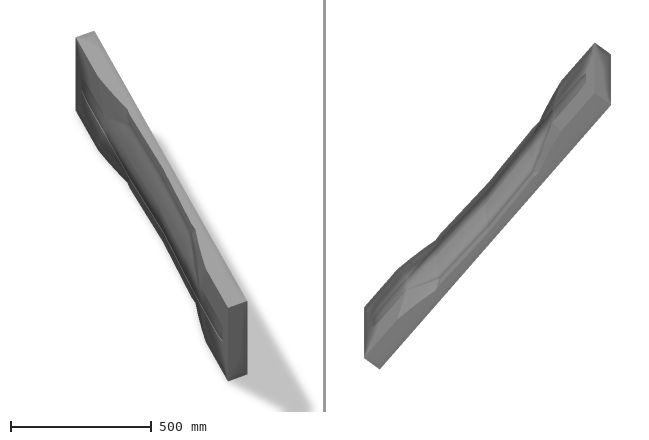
import cadquery as cq

LENGTH = 1318.0
HEIGHT = 434.0
HALF_LENGTH = LENGTH / 2
HALF_HEIGHT = HEIGHT / 2
LEFT_END_DEPTH = 73.0
RIGHT_END_DEPTH = 75.0

RECESS_STEP = 3.0
BARREL_HALF_LENGTH = 266.0
BARREL_HALF_HEIGHT = 161.0
BARREL_CORNER_HEIGHT = 165.0
CREST_MID_DEPTH = 47.0
CREST_SIDE_DEPTH = 58.0
RIM_MID_DEPTH = 30.0
RIM_SIDE_DEPTH = 40.0

VALLEY_X = 294.0
VALLEY_DEPTH = 37.0

TONGUE_START_X = 418.0
TONGUE_TAPER_X = 571.0
TONGUE_END_X = 610.0
TONGUE_HALF_HEIGHT = 54.0
TONGUE_END_HALF_HEIGHT = 38.0

FLAT_START_X = 468.0
OUTER_SEAM_X = 631.0
END_SEAM_HEIGHT = 162.0

SLOPE_SAG = 3.0

def line(start, end):
    return cq.Edge.makeLine(start, end)

def ruled(first, second):
    return cq.Face.makeRuledSurface(first, second)

def polygon(*points):
    return cq.Face.makeFromWires(cq.Wire.makePolygon(points, close=True))

def sunk(point):
    """Point moved into the panel by the recess step."""
    return point + cq.Vector(0, RECESS_STEP, 0)

def barrel_arc(x, corner_height, corner, crest, z_sign):
    """Circular bulge section from the crest to the barrel corner, level at the crest."""
    rise = corner.y - crest.y
    radius = (corner_height**2 + rise**2) / (2 * rise)
    half_height = corner_height / 2
    half_y = crest.y + radius - (radius**2 - half_height**2) ** 0.5
    return cq.Edge.makeThreePointArc(crest, cq.Vector(x, half_y, z_sign * half_height), corner)

def quarter(x_sign, z_sign, end_depth):
    """Worked faces of one quarter of the panel, and their edges along its long side."""

    def at(x, z, depth=end_depth):
        return cq.Vector(x_sign * x, -depth, z_sign * z)

    rim_mid = at(0, HALF_HEIGHT, RIM_MID_DEPTH)
    rim_side = at(BARREL_HALF_LENGTH, HALF_HEIGHT, RIM_SIDE_DEPTH)
    barrel_mid = at(0, BARREL_HALF_HEIGHT, RIM_MID_DEPTH)
    barrel_corner = at(BARREL_HALF_LENGTH, BARREL_CORNER_HEIGHT, RIM_SIDE_DEPTH)
    crest_mid = at(0, 0, CREST_MID_DEPTH)
    crest_side = at(BARREL_HALF_LENGTH, 0, CREST_SIDE_DEPTH)
    valley = at(VALLEY_X, HALF_HEIGHT, VALLEY_DEPTH)
    flat_start = at(FLAT_START_X, HALF_HEIGHT)
    tongue_start = at(TONGUE_START_X, TONGUE_HALF_HEIGHT)
    tongue_taper = at(TONGUE_TAPER_X, TONGUE_HALF_HEIGHT)
    tongue_end = at(TONGUE_END_X, TONGUE_END_HALF_HEIGHT)
    tongue_end_axis = at(TONGUE_END_X, 0)
    taper_edge = at(TONGUE_TAPER_X, HALF_HEIGHT)
    outer_seam = at(OUTER_SEAM_X, HALF_HEIGHT)
    panel_corner = at(HALF_LENGTH, HALF_HEIGHT)
    end_seam = at(HALF_LENGTH, END_SEAM_HEIGHT)
    end_pad = at(HALF_LENGTH, TONGUE_END_HALF_HEIGHT)

    slope_middle = (flat_start + valley) * 0.5 + cq.Vector(0, -SLOPE_SAG, 0)
    slope_edge = cq.Edge.makeThreePointArc(valley, slope_middle, flat_start)

    faces = [
        ruled(line(rim_mid, rim_side), line(barrel_mid, barrel_corner)),
        polygon(rim_side, valley, barrel_corner),
        ruled(slope_edge, line(barrel_corner, tongue_start)),
        polygon(flat_start, tongue_start, tongue_taper, taper_edge),
    ]

    faces += [
        polygon(taper_edge, tongue_taper, outer_seam),
        polygon(outer_seam, tongue_taper, tongue_end, end_seam, panel_corner),
        polygon(tongue_end, end_pad, end_seam),
    ]

    mid_arc = barrel_arc(0, BARREL_HALF_HEIGHT, sunk(barrel_mid), crest_mid, z_sign)
    side_arc = barrel_arc(
        x_sign * BARREL_HALF_LENGTH, BARREL_CORNER_HEIGHT, sunk(barrel_corner), crest_side, z_sign
    )
    tongue_start_axis = sunk(at(TONGUE_START_X, 0))
    faces += [
        ruled(mid_arc, side_arc),
        ruled(side_arc, line(tongue_start_axis, sunk(tongue_start))),
        polygon(
            tongue_start_axis, sunk(tongue_start), sunk(tongue_taper), sunk(tongue_end), sunk(tongue_end_axis)
        ),
    ]

    recess_outline = [barrel_mid, barrel_corner, tongue_start, tongue_taper, tongue_end, tongue_end_axis]
    for start, end in zip(recess_outline, recess_outline[1:]):
        faces.append(polygon(start, end, sunk(end), sunk(start)))

    long_edges = [
        line(rim_mid, rim_side),
        line(rim_side, valley),
        slope_edge,
        line(flat_start, taper_edge),
        line(taper_edge, outer_seam),
        line(outer_seam, panel_corner),
    ]
    return faces, long_edges


def end_faces(x_sign, depth):
    """Flat pad at the outer end of the tongue and the plain end face of the panel."""
    end_x = x_sign * HALF_LENGTH
    tongue_x = x_sign * TONGUE_END_X
    pad_height = TONGUE_END_HALF_HEIGHT
    pad = polygon(
        cq.Vector(tongue_x, -depth, -pad_height),
        cq.Vector(tongue_x, -depth, 0),
        cq.Vector(tongue_x, -depth, pad_height),
        cq.Vector(end_x, -depth, pad_height),
        cq.Vector(end_x, -depth, -pad_height),
    )
    seam_heights = [-HALF_HEIGHT, -END_SEAM_HEIGHT, -pad_height, pad_height, END_SEAM_HEIGHT, HALF_HEIGHT]
    front_points = [cq.Vector(end_x, -depth, z) for z in seam_heights]
    end = polygon(*front_points, cq.Vector(end_x, 0, HALF_HEIGHT), cq.Vector(end_x, 0, -HALF_HEIGHT))
    return [pad, end]


def long_side(z, front_edges):
    """Flat side between the worked face's outline and the back plane."""
    back_left = cq.Vector(-HALF_LENGTH, 0, z)
    back_right = cq.Vector(HALF_LENGTH, 0, z)
    left_edge = line(back_left, cq.Vector(-HALF_LENGTH, -LEFT_END_DEPTH, z))
    right_edge = line(back_right, cq.Vector(HALF_LENGTH, -RIGHT_END_DEPTH, z))
    outline = front_edges + [left_edge, right_edge, line(back_left, back_right)]
    return cq.Face.makeFromWires(cq.Wire.combine(outline)[0])


back = polygon(
    cq.Vector(-HALF_LENGTH, 0, -HALF_HEIGHT),
    cq.Vector(HALF_LENGTH, 0, -HALF_HEIGHT),
    cq.Vector(HALF_LENGTH, 0, HALF_HEIGHT),
    cq.Vector(-HALF_LENGTH, 0, HALF_HEIGHT),
)
panel_faces = [back]
for z_sign in (-1, 1):
    left_faces, left_edges = quarter(-1, z_sign, LEFT_END_DEPTH)
    right_faces, right_edges = quarter(1, z_sign, RIGHT_END_DEPTH)
    panel_faces += left_faces + right_faces
    panel_faces.append(long_side(z_sign * HALF_HEIGHT, left_edges + right_edges))
panel_faces += end_faces(-1, LEFT_END_DEPTH)
panel_faces += end_faces(1, RIGHT_END_DEPTH)

panel = cq.Solid.makeSolid(cq.Shell.makeShell(panel_faces)).fix()
result = cq.Workplane("XY").newObject([panel])